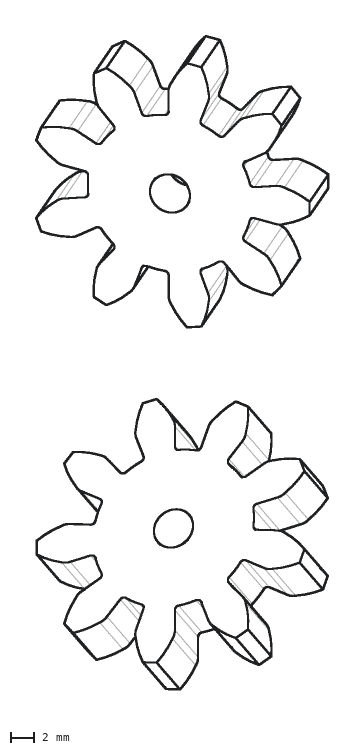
import cadquery as cq
import math

tooth_count = 9
gear_width = 6.0
bore_diameter = 3.5
root_radius = 7.18
tip_radius = 12.23
root_fillet = 0.36

flank_angle = 10.0
shoulder_along = 9.22
shoulder_half = 1.75
crest_along = 9.6
crest_half = 1.77
upper_along = 10.0
upper_half = 1.67
middle_along = 11.16
middle_half = 1.24
tip_half = 0.63
tooth_start = 5.82

tip_along = math.sqrt(tip_radius**2 - tip_half**2)
flank_slope = math.tan(math.radians(flank_angle))
start_half = shoulder_half - (shoulder_along - tooth_start) * flank_slope
tooth_pitch = 360 / tooth_count


def make_tooth():
    """One flat-tipped tooth pointing along +X."""
    return (
        cq.Workplane("XZ", origin=(0, gear_width / 2, 0))
        .moveTo(tooth_start, -start_half)
        .lineTo(shoulder_along, -shoulder_half)
        .threePointArc((crest_along, -crest_half), (upper_along, -upper_half))
        .threePointArc((middle_along, -middle_half), (tip_along, -tip_half))
        .lineTo(tip_along, tip_half)
        .threePointArc((middle_along, middle_half), (upper_along, upper_half))
        .threePointArc((crest_along, crest_half), (shoulder_along, shoulder_half))
        .lineTo(tooth_start, start_half)
        .close()
        .extrude(gear_width)
    )


def make_root_disc():
    """Solid disc that carries the teeth."""
    return cq.Workplane("XZ", origin=(0, gear_width / 2, 0)).circle(root_radius).extrude(gear_width)


def round_roots(body):
    """Fillet the corners where the flanks meet the root circle."""
    corner_limit = (root_radius + shoulder_along) / 2
    corners = []
    for edge in body.edges("|Y").vals():
        center = edge.Center()
        if math.hypot(center.x, center.z) < corner_limit:
            corners.append(edge)
    return body.newObject(corners).fillet(root_fillet)


def cut_bore(body):
    """Through hole on the gear axis."""
    bore = cq.Workplane("XZ", origin=(0, gear_width / 2, 0)).circle(bore_diameter / 2)
    return body.cut(bore.extrude(gear_width))


gear = make_root_disc()
tooth = make_tooth()
for index in range(tooth_count):
    gear = gear.union(tooth.rotate((0, 0, 0), (0, 1, 0), index * tooth_pitch))

gear = round_roots(gear)
result = cut_bore(gear)